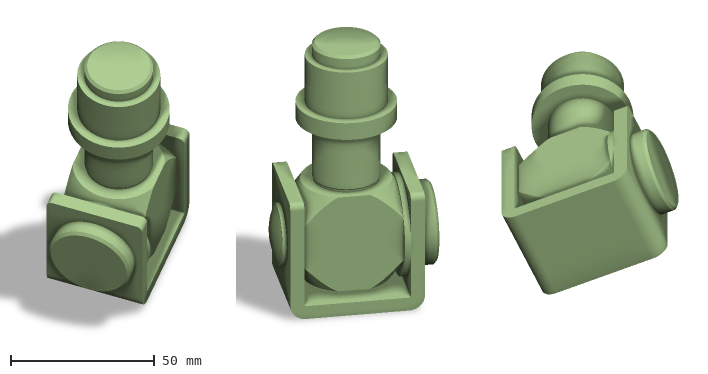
import cadquery as cq
import math


PIVOT_HEIGHT = 25.0
SHANK_DIA = 10.0
HEAD_DIA = 30.0
HEAD_LENGTH = 5.8
HEAD_CHAMFER = 1.0
BUTTON_RIM_DIA = 22.0
BUTTON_RIM_LENGTH = 1.5
DOME_DIA = 21.0
DOME_HEIGHT = 2.6

BLOCK_WIDTH = 30.0
BLOCK_DEPTH = 35.0
BLOCK_HEIGHT = 36.6
BLOCK_BOTTOM = 8.3
BLOCK_TOP = BLOCK_BOTTOM + BLOCK_HEIGHT
BLOCK_FACE_DIA = 32.1
CORNER_CUT_HEIGHT = 10.0

TOTAL_HEIGHT = 98.0
STUD_DIA = 24.0
STUD_CHAMFER = 1.0
NECK_DIA = 23.3
NECK_TOP = 45.8
STUD_BOTTOM = 46.3

SLEEVE_DIA = 29.0
STUD_PROJECTION = 5.0
SLEEVE_TOP = TOTAL_HEIGHT - STUD_PROJECTION
FLANGE_DIA = 35.5
FLANGE_BOTTOM = 68.4
FLANGE_THICKNESS = 6.5

BUSH_DIA = 19.4
BUSH_FLANGE_DIA = 36.5
BUSH_FLANGE_THICKNESS = 2.2
BUSH_PROJECTION = 0.6

BRACKET_WIDTH = 35.5
BRACKET_HEIGHT = 44.8
PLATE = 5.0
BEND_INNER_RADIUS = 0.5
BEND_OUTER_RADIUS = BEND_INNER_RADIUS + PLATE
LEG_CORNER_RADIUS = 2.3

FRONT_LEG_INNER_Y = -BLOCK_DEPTH / 2 - BUSH_FLANGE_THICKNESS
FRONT_LEG_OUTER_Y = FRONT_LEG_INNER_Y - PLATE
BACK_LEG_INNER_Y = BLOCK_DEPTH / 2 + BUSH_PROJECTION
BACK_LEG_OUTER_Y = BACK_LEG_INNER_Y + PLATE


def upright_cylinder(diameter, bottom, top):
    """Cylinder on the Z axis."""
    return cq.Workplane("XY").workplane(offset=bottom).circle(diameter / 2).extrude(top - bottom)


def pivot_cylinder(diameter, start_y, end_y):
    """Cylinder on the pivot axis, from start_y towards +Y."""
    plane = cq.Plane(origin=(0, start_y, PIVOT_HEIGHT), xDir=(1, 0, 0), normal=(0, 1, 0))
    return cq.Workplane(plane).circle(diameter / 2).extrude(end_y - start_y)


def make_bracket():
    span = BACK_LEG_OUTER_Y - FRONT_LEG_OUTER_Y
    middle_y = (BACK_LEG_OUTER_Y + FRONT_LEG_OUTER_Y) / 2
    bracket = (
        cq.Workplane("XY")
        .box(BRACKET_WIDTH, span, BRACKET_HEIGHT, centered=(True, True, False))
        .edges("|X and <Z")
        .fillet(BEND_OUTER_RADIUS)
        .edges("|Y and >Z")
        .fillet(LEG_CORNER_RADIUS)
    )
    opening = (
        cq.Workplane("XY")
        .workplane(offset=PLATE)
        .box(BRACKET_WIDTH, span - 2 * PLATE, BRACKET_HEIGHT, centered=(True, True, False))
        .edges("|X and <Z")
        .fillet(BEND_INNER_RADIUS)
    )
    bracket = bracket.cut(opening).translate((0, middle_y, 0))
    return bracket.cut(pivot_cylinder(SHANK_DIA, FRONT_LEG_OUTER_Y, BACK_LEG_OUTER_Y))


def make_block():
    """Block with its corners turned to a cone at both ends, bored for the bush."""
    block = (
        cq.Workplane("XY")
        .workplane(offset=BLOCK_BOTTOM)
        .box(BLOCK_WIDTH, BLOCK_DEPTH, BLOCK_HEIGHT, centered=(True, True, False))
    )
    face_radius = BLOCK_FACE_DIA / 2
    corner_radius = math.hypot(BLOCK_WIDTH, BLOCK_DEPTH) / 2
    envelope = (
        cq.Workplane("XZ")
        .moveTo(0, BLOCK_BOTTOM)
        .lineTo(face_radius, BLOCK_BOTTOM)
        .lineTo(corner_radius, BLOCK_BOTTOM + CORNER_CUT_HEIGHT)
        .lineTo(corner_radius, BLOCK_TOP - CORNER_CUT_HEIGHT)
        .lineTo(face_radius, BLOCK_TOP)
        .lineTo(0, BLOCK_TOP)
        .close()
        .revolve(360, (0, 0, 0), (0, 1, 0))
    )
    return block.intersect(envelope).cut(pivot_cylinder(BUSH_DIA, -BLOCK_DEPTH / 2, BLOCK_DEPTH / 2))


def make_stud():
    """Block and round stud in one piece, with a relieved neck between them."""
    stud = (
        cq.Workplane("XZ")
        .moveTo(0, BLOCK_TOP)
        .lineTo(NECK_DIA / 2, BLOCK_TOP)
        .lineTo(NECK_DIA / 2, NECK_TOP)
        .lineTo(STUD_DIA / 2, STUD_BOTTOM)
        .lineTo(STUD_DIA / 2, TOTAL_HEIGHT - STUD_CHAMFER)
        .lineTo(STUD_DIA / 2 - STUD_CHAMFER, TOTAL_HEIGHT)
        .lineTo(0, TOTAL_HEIGHT)
        .close()
        .revolve(360, (0, 0, 0), (0, 1, 0))
    )
    return make_block().union(stud)


def make_sleeve():
    tube = upright_cylinder(SLEEVE_DIA, FLANGE_BOTTOM, SLEEVE_TOP)
    flange = upright_cylinder(FLANGE_DIA, FLANGE_BOTTOM, FLANGE_BOTTOM + FLANGE_THICKNESS)
    return tube.union(flange).cut(upright_cylinder(STUD_DIA, FLANGE_BOTTOM, SLEEVE_TOP))


def make_bush():
    """Bush whose flange spaces the block from the front leg and whose end meets the back leg."""
    tube = pivot_cylinder(BUSH_DIA, FRONT_LEG_INNER_Y, BACK_LEG_INNER_Y)
    flange = pivot_cylinder(BUSH_FLANGE_DIA, FRONT_LEG_INNER_Y, -BLOCK_DEPTH / 2)
    return tube.union(flange).cut(pivot_cylinder(SHANK_DIA, FRONT_LEG_INNER_Y, BACK_LEG_INNER_Y))


def make_pin():
    head = pivot_cylinder(HEAD_DIA, FRONT_LEG_OUTER_Y - HEAD_LENGTH, FRONT_LEG_OUTER_Y)
    head = head.faces("<Y").chamfer(HEAD_CHAMFER)
    shank = pivot_cylinder(SHANK_DIA, FRONT_LEG_OUTER_Y, BACK_LEG_OUTER_Y + BUTTON_RIM_LENGTH)
    return head.union(shank)


def make_button():
    """Domed button that closes the back end of the pin, which sits in its rim."""
    rim_end_y = BACK_LEG_OUTER_Y + BUTTON_RIM_LENGTH
    dome_radius = ((DOME_DIA / 2) ** 2 + DOME_HEIGHT**2) / (2 * DOME_HEIGHT)
    dome_centre_y = rim_end_y + DOME_HEIGHT - dome_radius
    dome = (
        cq.Workplane("XY")
        .sphere(dome_radius)
        .translate((0, dome_centre_y, PIVOT_HEIGHT))
        .intersect(pivot_cylinder(DOME_DIA, rim_end_y, rim_end_y + DOME_HEIGHT))
    )
    rim = pivot_cylinder(BUTTON_RIM_DIA, BACK_LEG_OUTER_Y, rim_end_y)
    return rim.cut(pivot_cylinder(SHANK_DIA, BACK_LEG_OUTER_Y, rim_end_y)).union(dome)


bracket = make_bracket()
stud = make_stud()
sleeve = make_sleeve()
bush = make_bush()
pin = make_pin()
button = make_button()

bodies = [bracket, stud, sleeve, bush, pin, button]
result = cq.Compound.makeCompound([body.solids().val() for body in bodies])